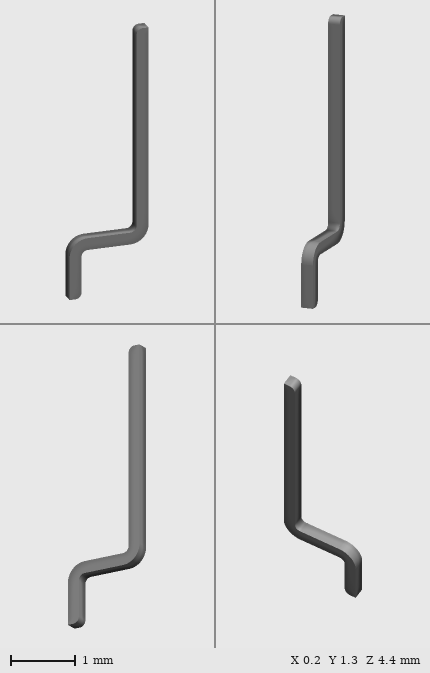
import cadquery as cq

height = 4.4
depth = 1.3
wire = 0.2
step_top = 1.0
inner_radius = 0.1
outer_radius = inner_radius + wire
tip_radius = 0.1

step_bottom = step_top - wire
upper_leg_front = depth - wire

outline = [
    (0, 0),
    (wire, 0),
    (wire, step_bottom),
    (depth, step_bottom),
    (depth, height),
    (upper_leg_front, height),
    (upper_leg_front, step_top),
    (0, step_top),
]
pin = cq.Workplane("YZ").polyline(outline).close().extrude(wire / 2, both=True)


def round_corners(body, corners, radius):
    """Round the edges along X that pass through the given (Y, Z) corners."""
    edges = cq.Workplane("XY")
    for y, z in corners:
        edges = edges.add(body.edges(cq.selectors.NearestToPointSelector((0, y, z))))
    return body.newObject(edges.vals()).fillet(radius)


pin = round_corners(pin, [(wire, step_bottom), (upper_leg_front, step_top)], inner_radius)
pin = round_corners(pin, [(0, step_top), (depth, step_bottom)], outer_radius)

result = round_corners(pin, [(wire, 0), (upper_leg_front, height)], tip_radius)